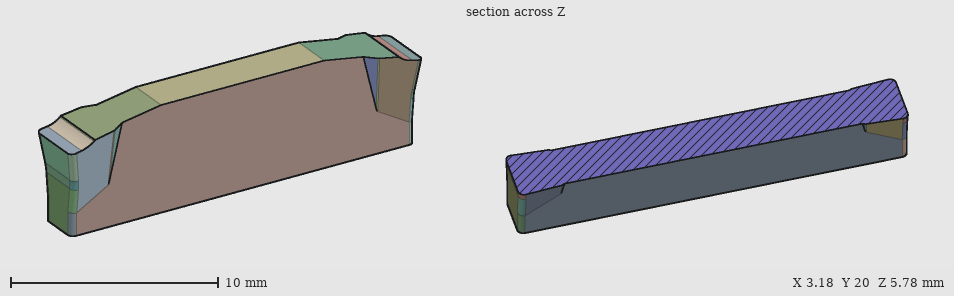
import cadquery as cq
import math

LENGTH = 20.0
HEIGHT = 5.784
BODY_WIDTH = 2.33
HEAD_WIDTH = 3.18
CORNER_RADIUS = 0.3

TIP_Y = LENGTH / 2
TIP_Z = 4.62
FOOT_Y = 9.74
RELIEF_BLEND_TOP_Z = 3.07
RELIEF_BLEND_BOTTOM_Z = 2.58

LAND_LENGTH = 0.62
LAND_RISE = 0.11
GROOVE_END_Y = 8.68
GROOVE_END_Z = 5.05
BEVEL_LENGTH = 0.08
BEVEL_ANGLE = 45
FLAT_TOP_HALF_LENGTH = 4.62

FLARE_BOTTOM_Y = FOOT_Y - CORNER_RADIUS
FLARE_BOTTOM_Z = 1.24
FLARE_BACK_Y = 7.6
FLARE_BACK_Z = 2.3
SHOULDER_TOP_Y = 6.84
SHOULDER_TOP_Z = 5.4
SHOULDER_CREST_Y = 7.49
SHOULDER_CREST_Z = 5.28
SHOULDER_RADIUS = 0.2

BIG = 3 * LENGTH
EDGE_TOLERANCE = 0.01

half_body = BODY_WIDTH / 2
half_head = HEAD_WIDTH / 2

flare_line_slope = (FLARE_BACK_Z - FLARE_BOTTOM_Z) / (FLARE_BACK_Y - FLARE_BOTTOM_Y)


def height_above_flare_line(y, z):
    return z - FLARE_BOTTOM_Z - flare_line_slope * (y - FLARE_BOTTOM_Y)


widest_y = TIP_Y - CORNER_RADIUS
widest_z = TIP_Z + LAND_RISE * CORNER_RADIUS / LAND_LENGTH
flare_rate = (half_head - half_body) / height_above_flare_line(widest_y, widest_z)


def flare_half_width(y, z):
    return half_body + flare_rate * height_above_flare_line(y, z)


def half_profile(width):
    """The +Y half of the side profile, extruded symmetrically to the given width."""
    relief_end_z = (RELIEF_BLEND_TOP_Z + RELIEF_BLEND_BOTTOM_Z) / 2
    relief_slope = (TIP_Y - FOOT_Y) / (TIP_Z - relief_end_z)
    blend_top_y = TIP_Y - relief_slope * (TIP_Z - RELIEF_BLEND_TOP_Z)
    bevel_run = BEVEL_LENGTH * math.cos(math.radians(BEVEL_ANGLE))
    bevel_rise = BEVEL_LENGTH * math.sin(math.radians(BEVEL_ANGLE))
    return (
        cq.Workplane("YZ")
        .moveTo(0, 0)
        .lineTo(FOOT_Y, 0)
        .lineTo(FOOT_Y, RELIEF_BLEND_BOTTOM_Z)
        .tangentArcPoint((blend_top_y, RELIEF_BLEND_TOP_Z), relative=False)
        .lineTo(TIP_Y, TIP_Z)
        .lineTo(TIP_Y - LAND_LENGTH, TIP_Z + LAND_RISE)
        .tangentArcPoint((GROOVE_END_Y, GROOVE_END_Z), relative=False)
        .lineTo(GROOVE_END_Y - bevel_run, GROOVE_END_Z + bevel_rise)
        .lineTo(FLAT_TOP_HALF_LENGTH, HEIGHT)
        .lineTo(0, HEIGHT)
        .close()
        .extrude(width / 2, both=True)
    )


def outside_of_plane(a, b, c):
    """Large block on the outer (+X) side of the plane through three points."""
    corner = cq.Vector(*a)
    along = cq.Vector(*b) - corner
    normal = along.cross(cq.Vector(*c) - corner)
    if normal.x < 0:
        normal = normal * -1
    plane = cq.Plane(origin=corner, xDir=along, normal=normal)
    return cq.Workplane(plane).rect(BIG, BIG).extrude(BIG)


def flared_side():
    """The +X half of the +Y head, bounded by the flare and by the shoulder behind it."""
    crest_half_width = flare_half_width(SHOULDER_CREST_Y, SHOULDER_CREST_Z)
    flare_bottom = (half_body, FLARE_BOTTOM_Y, FLARE_BOTTOM_Z)
    flare_back = (half_body, FLARE_BACK_Y, FLARE_BACK_Z)
    shoulder_top = (half_body, SHOULDER_TOP_Y, SHOULDER_TOP_Z)
    shoulder_crest = (crest_half_width, SHOULDER_CREST_Y, SHOULDER_CREST_Z)
    inner_half = cq.Workplane("XY").box(BIG, BIG, BIG).translate((-BIG / 2, 0, 0))
    side = (
        half_profile(2 * HEAD_WIDTH)
        .cut(inner_half)
        .cut(outside_of_plane(flare_bottom, flare_back, shoulder_crest))
        .cut(outside_of_plane(flare_back, shoulder_top, shoulder_crest))
    )
    crest_middle = (cq.Vector(*flare_back) + cq.Vector(*shoulder_crest)) / 2
    crest_edge = cq.selectors.NearestToPointSelector(crest_middle.toTuple())
    return side.edges(crest_edge).fillet(SHOULDER_RADIUS)


def half_insert():
    """The +Y half of the part with its flared head and rounded end corners."""
    side = flared_side()
    half = half_profile(BODY_WIDTH).union(side).union(side.mirror("YZ"))
    inner_x = half_body - CORNER_RADIUS
    inner_y = FOOT_Y - EDGE_TOLERANCE
    right_corner = cq.selectors.BoxSelector((inner_x, inner_y, 0), (BIG, BIG, HEIGHT))
    left_corner = cq.selectors.BoxSelector((-BIG, inner_y, 0), (-inner_x, BIG, HEIGHT))
    return half.edges(right_corner + left_corner).fillet(CORNER_RADIUS)


half = half_insert()
result = half.union(half.mirror("XZ"))